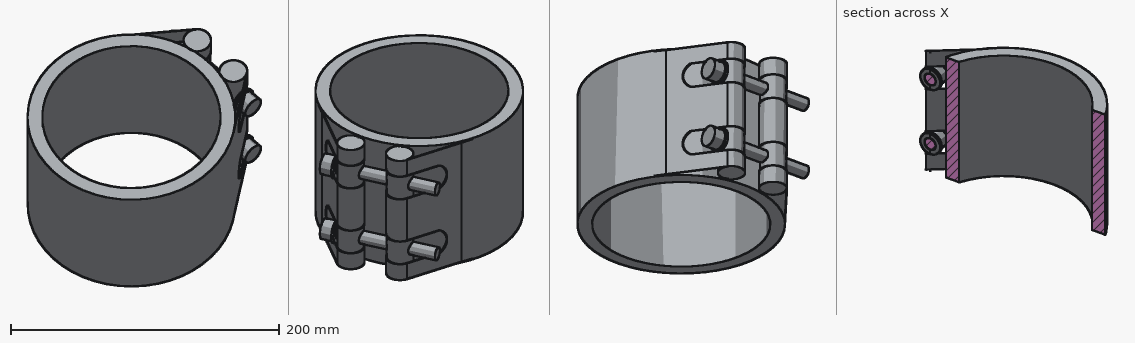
import cadquery as cq
import math

sleeve_diameter = 155.0
bore_diameter = 133.0
sleeve_height = 107.0
overall_depth = 173.3

strap_thickness = 0.5
strap_inset = 0.9
pin_diameter = 20.0
pin_x = 20.0

slot_width = 20.0
slot_tip_y = 63.8
slot_round_depth = 5.0

bolt_offset_z = 28.6
shank_diameter = 10.0
washer_diameter = 18.0
washer_thickness = 2.0
head_diameter = 16.0
shank_end_x = -50.1
head_end_x = 41.6

sleeve_radius = sleeve_diameter / 2
pin_radius = pin_diameter / 2
wrap_radius = pin_radius + strap_thickness
pin_y = overall_depth - sleeve_radius - wrap_radius
strap_height = sleeve_height - 2 * strap_inset
washer_x = pin_x + pin_radius
head_x = washer_x + washer_thickness

pin_distance = math.hypot(pin_x, pin_y)
contact_angle = math.atan2(pin_y, pin_x)
tangent_angle = contact_angle - math.acos((sleeve_radius - wrap_radius) / pin_distance)


def polar(radius, angle, center=(0, 0)):
    return (center[0] + radius * math.cos(angle), center[1] + radius * math.sin(angle))


def make_sleeve():
    return cq.Workplane("XY").circle(sleeve_radius).circle(bore_diameter / 2).extrude(
        sleeve_height / 2, both=True
    )


def make_strap_end():
    """Sheet on the +X side: a tangent run, then a wrap over the pin down to the sleeve."""
    pin_center = (pin_x, pin_y)
    wrap_end_angle = contact_angle + math.pi
    wrap_mid_angle = (tangent_angle + wrap_end_angle) / 2
    return (
        cq.Workplane("XY")
        .moveTo(*polar(sleeve_radius, tangent_angle))
        .lineTo(*polar(wrap_radius, tangent_angle, pin_center))
        .threePointArc(
            polar(wrap_radius, wrap_mid_angle, pin_center),
            polar(wrap_radius, wrap_end_angle, pin_center),
        )
        .lineTo(*polar(pin_radius, wrap_end_angle, pin_center))
        .threePointArc(
            polar(pin_radius, wrap_mid_angle, pin_center),
            polar(pin_radius, tangent_angle, pin_center),
        )
        .lineTo(*polar(sleeve_radius - strap_thickness, tangent_angle))
        .close()
        .extrude(strap_height / 2, both=True)
    )


def make_slot(z):
    """Round-ended cutter along X, open past the back of the wrap."""
    half_width = slot_width / 2
    round_start_y = slot_tip_y + slot_round_depth
    return (
        cq.Workplane("YZ")
        .moveTo(overall_depth, z - half_width)
        .lineTo(round_start_y, z - half_width)
        .threePointArc((slot_tip_y, z), (round_start_y, z + half_width))
        .lineTo(overall_depth, z + half_width)
        .close()
        .extrude(sleeve_radius)
    )


def make_pin():
    return cq.Workplane("XY").center(pin_x, pin_y).circle(pin_radius).extrude(
        strap_height / 2, both=True
    )


def rod(diameter, start_x, end_x, z):
    return (
        cq.Workplane("YZ", origin=(start_x, pin_y, z))
        .circle(diameter / 2)
        .extrude(end_x - start_x)
    )


def make_bolt(z):
    shank = rod(shank_diameter, shank_end_x, head_x, z)
    washer = rod(washer_diameter, washer_x, head_x, z)
    head = rod(head_diameter, head_x, head_end_x, z)
    return shank.union(washer).union(head)


bolt_heights = (-bolt_offset_z, bolt_offset_z)

clamp_side = make_strap_end()
for bolt_z in bolt_heights:
    clamp_side = clamp_side.cut(make_slot(bolt_z))
clamp_side = clamp_side.union(make_pin())

result = make_sleeve().union(clamp_side).union(clamp_side.mirror("YZ"))
for bolt_z in bolt_heights:
    result = result.union(make_bolt(bolt_z))